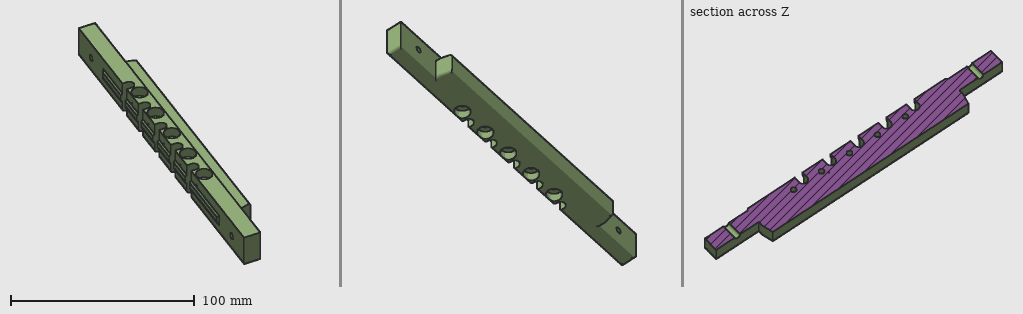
import cadquery as cq

bar_length = 200.0
bar_depth = 10.0
bar_height = 20.0

block_length = 140.5
block_depth = 10.0
block_height = 13.5
block_straight_depth = 3.0
block_end_taper = 1.8
edge_radius = 2.0

rib_length = block_length
rib_height = 6.5
rib_center_z = 10.0
rib_projection = 1.0
rib_slope_inset = 1.2

pair_count = 5
row_span = 78.0
pitch = row_span / (pair_count - 1)
first_groove_x = -44.5
groove_to_bore = 8.2
groove_width = 5.5
groove_depth = 5.5

bore_diameter = 3.0
counterbore_diameter = 9.0
counterbore_depth = 6.0

end_hole_diameter = 3.5
end_hole_inset = 15.0


def make_body():
    """Bar and tapered rear block, rounded along the underside and the block's top rear edge."""
    bar = cq.Workplane("XY").box(bar_length, bar_depth, bar_height, centered=(True, False, False))
    bar = bar.translate((0, -bar_depth, 0))
    half_base = block_length / 2
    half_rear = half_base - block_end_taper
    block = (
        cq.Workplane("XY")
        .polyline([
            (-half_base, 0),
            (half_base, 0),
            (half_base, block_straight_depth),
            (half_rear, block_depth),
            (-half_rear, block_depth),
            (-half_base, block_straight_depth),
        ])
        .close()
        .extrude(block_height)
    )
    block = block.faces(">Y").edges(">Z").fillet(edge_radius)
    return bar.union(block).faces("<Z").edges().fillet(edge_radius)


def make_rib():
    """Front rib that narrows on all four sides towards its outer face."""
    return (
        cq.Workplane("XZ", origin=(0, -bar_depth, rib_center_z))
        .rect(rib_length, rib_height)
        .workplane(offset=rib_projection)
        .rect(rib_length - 2 * rib_slope_inset, rib_height - 2 * rib_slope_inset)
        .loft(ruled=True)
    )


def make_groove(x):
    """Full-height cutter with a round inner end, open through the front of the rib."""
    arc_center_y = -bar_depth + groove_depth - groove_width / 2
    open_length = bar_depth + rib_projection
    round_end = cq.Workplane("XY").circle(groove_width / 2).extrude(bar_height)
    straight = (
        cq.Workplane("XY")
        .rect(groove_width, open_length)
        .extrude(bar_height)
        .translate((0, -open_length / 2, 0))
    )
    return round_end.union(straight).translate((x, arc_center_y, 0))


def make_bore(x):
    """Through bore with equal counterbores in the top and bottom faces."""
    base = cq.Workplane("XY", origin=(x, -bar_depth / 2, 0))
    bore = base.circle(bore_diameter / 2).extrude(bar_height)
    lower = base.circle(counterbore_diameter / 2).extrude(counterbore_depth)
    upper = lower.translate((0, 0, bar_height - counterbore_depth))
    return bore.union(lower).union(upper)


def make_end_hole(x):
    """Round hole through the bar from front to back."""
    return (
        cq.Workplane("XZ", origin=(x, 0, bar_height / 2))
        .circle(end_hole_diameter / 2)
        .extrude(bar_depth)
    )


result = make_body().union(make_rib())

for index in range(pair_count):
    groove_x = first_groove_x + index * pitch
    result = result.cut(make_groove(groove_x))
    result = result.cut(make_bore(groove_x + groove_to_bore))

for side in (-1, 1):
    result = result.cut(make_end_hole(side * (bar_length / 2 - end_hole_inset)))